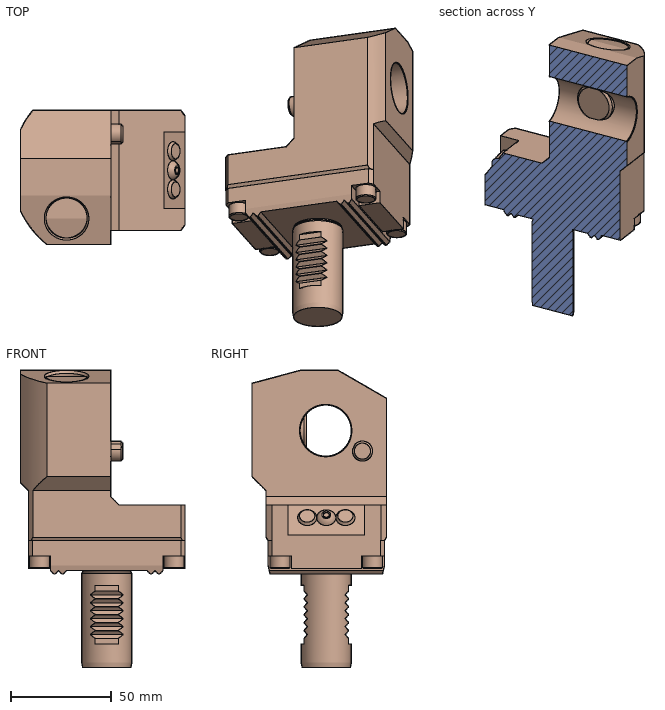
import cadquery as cq
import math


turning_radius = 47.5
body_half_length = 39.0
body_half_width = 30.0
head_back_x = 2.0
head_overhang_x = 4.0
head_overhang_y = 7.0
head_bottom_z = 40.0
body_top_z = 33.0
step_chamfer = 4.0
top_z = 100.0
roof_rear_edge_z = 86.0
roof_rear_angle = 30.0
roof_front_ridge_y = -12.7
roof_front_angle = 15.0

flange_inset = 1.0
flange_inset_top_z = 16.8
flange_inset_bottom_z = 15.2
flange_corner_chamfer = 2.0
flange_bottom_z = 1.2
seat_half_length = 28.0
seat_z = 0.25
seat_bevel_start_z = 2.6
seat_bevel = 1.0
tooth_pitch = 4.0
tooth_tip_width = 0.7
tooth_tip_z = -1.5
teeth_per_side = 2

notch_inner_y = 17.4
notch_top_z = 7.4
screw_x = 33.5
screw_y = 23.0
screw_diameter = 10.0
screw_bottom_z = 1.4
screw_chamfer = 0.5

shank_diameter = 25.0
neck_diameter = 24.1
neck_bottom_z = -0.4
shoulder_z = -1.2
shank_bottom_z = -48.0
shank_lead_in = 2.3
rack_flat_y = 11.1
rack_flat_length = 29.1
rack_center_z = -21.7
rack_pitch = 3.95
rack_tooth_count = 6
rack_depth = 1.65
rack_groove_width = 3.7

bore_diameter = 25.4
bore_rim_diameter = 26.1
bore_y = -0.3
bore_z = 69.9
clamp_x = -20.0
clamp_pad_diameter = 20.0
clamp_pad_face_y = -9.8
clamp_pad_chamfer = 1.2
recess_y = -24.0
recess_rim_diameter = 22.2
recess_rim_depth = 1.3
clamp_screw_diameter = 20.4
recess_depth = 3.0
clamp_top_depth = 0.25

pin_diameter = 10.0
pin_y = 18.0
pin_z = 59.7
pin_length = 6.0
pin_chamfer = 1.0
pin_flat_distance = 4.78
pin_flat_angle = 26.0

pocket_top_x = 28.5
pocket_half_width = 19.0
pocket_angle = 55.0
fitting_spacing = 9.5
fitting_diameter = 9.5
fitting_x = 33.0
plug_face_diameter = 7.6
plug_height = 1.55
nozzle_face_diameter = 4.4
nozzle_height = 2.5
nozzle_dimple_diameter = 3.0
nozzle_dimple_depth = 0.3


def tan_deg(angle):
    return math.tan(math.radians(angle))


def roof_front_z(y):
    """Height of the front roof slope at the given Y."""
    return top_z - (roof_front_ridge_y - y) * tan_deg(roof_front_angle)


def seat_teeth_points():
    """Underside of the seat in X, Z from +X to -X, with teeth at both ends."""
    points = []
    inner_x = seat_half_length - teeth_per_side * tooth_pitch
    for start_x in (seat_half_length, -inner_x):
        points.append((start_x, seat_z))
        for i in range(teeth_per_side):
            center_x = start_x - (i + 0.5) * tooth_pitch
            points.append((center_x + tooth_tip_width / 2, tooth_tip_z))
            points.append((center_x - tooth_tip_width / 2, tooth_tip_z))
            points.append((start_x - (i + 1) * tooth_pitch, seat_z))
    return points


def make_housing():
    """Head, body and seat: the X-Z outline, the Y-Z outline and the turning cylinder in common."""
    head_front_x = -body_half_length - head_overhang_x
    head_side_y = -body_half_width - head_overhang_y
    flange_y = body_half_width - flange_inset
    seat_y = flange_y - seat_bevel
    roof_rear_ridge_y = body_half_width - (top_z - roof_rear_edge_z) / tan_deg(roof_rear_angle)

    length_outline = [
        (head_front_x, top_z),
        (head_back_x, top_z),
        (head_back_x, body_top_z + step_chamfer),
        (head_back_x + step_chamfer, body_top_z),
        (body_half_length, body_top_z),
        (body_half_length, flange_bottom_z),
        (seat_half_length, flange_bottom_z),
        *seat_teeth_points(),
        (-seat_half_length, flange_bottom_z),
        (-body_half_length, flange_bottom_z),
        (-body_half_length, head_bottom_z),
        (head_front_x, head_bottom_z + head_overhang_x),
    ]
    width_outline = [
        (body_half_width, roof_rear_edge_z),
        (roof_rear_ridge_y, top_z),
        (roof_front_ridge_y, top_z),
        (head_side_y, roof_front_z(head_side_y)),
        (head_side_y, head_bottom_z + head_overhang_y),
        (-body_half_width, head_bottom_z),
        (-body_half_width, flange_inset_top_z),
        (-flange_y, flange_inset_bottom_z),
        (-flange_y, seat_bevel_start_z),
        (-seat_y, tooth_tip_z),
        (seat_y, tooth_tip_z),
        (flange_y, seat_bevel_start_z),
        (flange_y, flange_inset_bottom_z),
        (body_half_width, flange_inset_top_z),
    ]
    along_y = cq.Workplane("XZ").polyline(length_outline).close().extrude(turning_radius, both=True)
    along_x = cq.Workplane("YZ").polyline(width_outline).close().extrude(turning_radius, both=True)
    turned = (
        cq.Workplane("XY", origin=(0, 0, tooth_tip_z))
        .circle(turning_radius)
        .extrude(top_z - tooth_tip_z)
    )
    return along_y.intersect(along_x).intersect(turned)


def chamfer_flange_corners(part):
    """Flat 45 degree chamfers on the vertical corners of the flange below the inset."""
    flange_height = flange_inset_bottom_z - tooth_tip_z
    flange_width = 2 * (body_half_width - flange_inset)
    flange_block = (
        cq.Workplane("XY", origin=(0, 0, tooth_tip_z))
        .rect(2 * body_half_length, flange_width)
        .extrude(flange_height)
    )
    kept = flange_block.edges("|Z").chamfer(flange_corner_chamfer)
    return part.cut(flange_block.cut(kept))


def add_corner_screws(part):
    """Square notch at each lower corner with a screw head hanging in it."""
    notch_length = turning_radius - seat_half_length
    notch_width = turning_radius - notch_inner_y
    screw_height = notch_top_z - screw_bottom_z
    for side_x in (-1, 1):
        for side_y in (-1, 1):
            notch_x = side_x * (seat_half_length + notch_length / 2)
            notch_y = side_y * (notch_inner_y + notch_width / 2)
            notch = (
                cq.Workplane("XY", origin=(notch_x, notch_y, notch_top_z))
                .rect(notch_length, notch_width)
                .extrude(tooth_tip_z - notch_top_z)
            )
            screw = (
                cq.Workplane("XY", origin=(side_x * screw_x, side_y * screw_y, screw_bottom_z))
                .circle(screw_diameter / 2)
                .extrude(screw_height)
                .faces("<Z")
                .chamfer(screw_chamfer)
            )
            part = part.cut(notch).union(screw)
    return part


def make_shank():
    """Necked round shank with a toothed flat on its +Y and -Y sides."""
    shank_radius = shank_diameter / 2
    neck_radius = neck_diameter / 2
    outline = [
        (0, seat_z),
        (neck_radius, seat_z),
        (neck_radius, neck_bottom_z),
        (shank_radius, shoulder_z),
        (shank_radius, shank_bottom_z + shank_lead_in),
        (neck_radius, shank_bottom_z),
        (0, shank_bottom_z),
    ]
    shank = cq.Workplane("XZ").polyline(outline).close().revolve(360, (0, 0), (0, 1))

    flat_top_z = rack_center_z + rack_flat_length / 2
    rack_outline = [(shank_radius, flat_top_z), (rack_flat_y, flat_top_z)]
    for i in range(rack_tooth_count):
        groove_z = rack_center_z + ((rack_tooth_count - 1) / 2 - i) * rack_pitch
        rack_outline.append((rack_flat_y, groove_z + rack_groove_width / 2))
        rack_outline.append((rack_flat_y - rack_depth, groove_z))
        rack_outline.append((rack_flat_y, groove_z - rack_groove_width / 2))
    flat_bottom_z = flat_top_z - rack_flat_length
    rack_outline += [(rack_flat_y, flat_bottom_z), (shank_radius, flat_bottom_z)]
    rack = cq.Workplane("YZ").polyline(rack_outline).close().extrude(shank_radius, both=True)
    return shank.cut(rack).cut(rack.mirror("XZ"))


def cut_tool_bore(part):
    """Through bore along X with a chamfered rim at both ends."""
    front_x = -body_half_length - head_overhang_x
    bore_radius = bore_diameter / 2
    rim_radius = bore_rim_diameter / 2
    rim_depth = rim_radius - bore_radius
    outline = [
        (front_x, 0),
        (front_x, -rim_radius),
        (front_x + rim_depth, -bore_radius),
        (head_back_x - rim_depth, -bore_radius),
        (head_back_x, -rim_radius),
        (head_back_x, 0),
    ]
    bore = (
        cq.Workplane("XZ")
        .polyline(outline)
        .close()
        .revolve(360, (0, 0), (1, 0))
        .translate((0, bore_y, bore_z))
    )
    return part.cut(bore)


def add_clamp_pad(part):
    """Round pad along Y that reaches into the -Y side of the bore."""
    pad_length = bore_diameter / 2 + clamp_pad_face_y
    pad = (
        cq.Workplane("XZ", origin=(clamp_x, clamp_pad_face_y, bore_z))
        .circle(clamp_pad_diameter / 2)
        .extrude(pad_length + clamp_pad_chamfer)
        .faces(">Y")
        .chamfer(clamp_pad_chamfer)
    )
    return part.union(pad)


def place_on_front_roof(shape):
    """Move a shape from the origin, pointing up, to the clamp seat square to the front roof slope."""
    return shape.rotate((0, 0, 0), (1, 0, 0), roof_front_angle).translate(
        (clamp_x, recess_y, roof_front_z(recess_y))
    )


def add_clamp_screw(part):
    """Countersunk recess with a screw in it; half of the screw's top is level, half follows the roof."""
    rim_radius = recess_rim_diameter / 2
    screw_radius = clamp_screw_diameter / 2
    recess_outline = [
        (0, -recess_depth),
        (screw_radius, -recess_depth),
        (screw_radius, -recess_rim_depth),
        (rim_radius, 0),
        (rim_radius, rim_radius),
        (0, rim_radius),
    ]
    recess = cq.Workplane("XZ").polyline(recess_outline).close().revolve(360, (0, 0), (0, 1))
    screw = cq.Workplane("XY", origin=(0, 0, -recess_depth)).circle(screw_radius).extrude(2 * recess_depth)

    ridge_z = roof_front_z(recess_y) - clamp_top_depth
    reach = recess_rim_diameter
    base_z = ridge_z - reach
    below_top = (
        cq.Workplane("YZ", origin=(clamp_x, 0, 0))
        .polyline([
            (recess_y + reach, ridge_z),
            (recess_y, ridge_z),
            (recess_y - reach, ridge_z - reach * tan_deg(roof_front_angle)),
            (recess_y - reach, base_z),
            (recess_y + reach, base_z),
        ])
        .close()
        .extrude(reach, both=True)
    )
    screw = place_on_front_roof(screw).intersect(below_top)
    return part.cut(place_on_front_roof(recess)).union(screw)


def add_pin(part):
    """Chamfered pin on the back of the head with a narrow flat along it."""
    pin = (
        cq.Workplane("YZ", origin=(head_back_x, pin_y, pin_z))
        .circle(pin_diameter / 2)
        .extrude(pin_length)
        .faces(">X")
        .chamfer(pin_chamfer)
    )
    flat_cut = (
        cq.Workplane("XY")
        .box(pin_length, pin_diameter, pin_diameter, centered=(False, False, True))
        .translate((0, -pin_flat_distance - pin_diameter, 0))
        .rotate((0, 0, 0), (1, 0, 0), -pin_flat_angle)
        .translate((head_back_x, pin_y, pin_z))
    )
    return part.union(pin.cut(flat_cut))


def cut_pocket(part):
    """Pocket with a floor that falls towards the +X end of the body."""
    run = turning_radius - pocket_top_x
    pocket = (
        cq.Workplane("XZ")
        .polyline([
            (pocket_top_x, body_top_z),
            (pocket_top_x + run, body_top_z),
            (pocket_top_x + run, body_top_z - run * tan_deg(pocket_angle)),
        ])
        .close()
        .extrude(pocket_half_width, both=True)
    )
    return part.cut(pocket)


def place_on_pocket_floor(fitting, y):
    """Move a fitting from the origin, pointing up, to its seat on the pocket floor."""
    floor_z = body_top_z - (fitting_x - pocket_top_x) * tan_deg(pocket_angle)
    return fitting.rotate((0, 0, 0), (0, 1, 0), pocket_angle).translate((fitting_x, y, floor_z))


def make_plug():
    """Low tapered plug."""
    return (
        cq.Workplane("XY")
        .circle(fitting_diameter / 2)
        .workplane(offset=plug_height)
        .circle(plug_face_diameter / 2)
        .loft()
    )


def make_nozzle():
    """Domed nozzle with a flat face and a shallow round dimple."""
    base_radius = fitting_diameter / 2
    face_radius = nozzle_face_diameter / 2
    center_depth = (base_radius**2 - face_radius**2 - nozzle_height**2) / (2 * nozzle_height)
    dome_radius = math.hypot(base_radius, center_depth)
    middle_height = nozzle_height / 2
    middle_radius = math.sqrt(dome_radius**2 - (middle_height + center_depth) ** 2)
    dome = (
        cq.Workplane("XZ")
        .lineTo(base_radius, 0)
        .threePointArc((middle_radius, middle_height), (face_radius, nozzle_height))
        .lineTo(0, nozzle_height)
        .close()
        .revolve(360, (0, 0), (0, 1))
    )
    return dome.faces(">Z").workplane().hole(nozzle_dimple_diameter, nozzle_dimple_depth)


def add_coolant_fittings(part):
    """Nozzle in the middle of the pocket floor with a plug on either side."""
    part = part.union(place_on_pocket_floor(make_nozzle(), 0))
    for side in (-1, 1):
        part = part.union(place_on_pocket_floor(make_plug(), side * fitting_spacing))
    return part


holder = make_housing()
holder = chamfer_flange_corners(holder)
holder = add_corner_screws(holder)
holder = holder.union(make_shank())
holder = cut_tool_bore(holder)
holder = add_clamp_pad(holder)
holder = add_clamp_screw(holder)
holder = add_pin(holder)
holder = cut_pocket(holder)
result = add_coolant_fittings(holder)